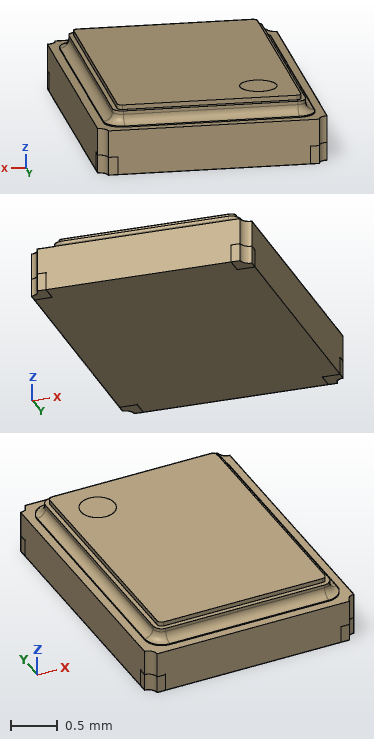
import cadquery as cq

width = 2.5
length = 3.2
base_height = 0.5
notch_radius = 0.1

pad_size = 0.2

total_height = 0.7
lid_thickness = 0.05
seal_height = total_height - base_height - lid_thickness
seal_inset = 0.1
seal_foot_radius = 0.2
seal_lip = 0.013
cove_radius = 0.1

lid_inset = 0.25

corner_centre = seal_inset + seal_foot_radius

mark_diameter = 0.4
mark_offset = 0.65

seal_top = base_height + seal_height


def rounded_plate(inset, bottom, height):
    """Centred plate set in from the base sides, with round vertical corners."""
    return (
        cq.Workplane("XY", origin=(0, 0, bottom))
        .rect(width - 2 * inset, length - 2 * inset)
        .extrude(height)
        .edges("|Z")
        .fillet(corner_centre - inset)
    )


def make_corner_pad(side_x, side_y):
    """Cube-shaped pad in one bottom corner of the base, cut by the corner notch."""
    corner = (side_x * width / 2, side_y * length / 2)
    cube_centre = (corner[0] - side_x * pad_size / 2, corner[1] - side_y * pad_size / 2)
    cube = cq.Workplane("XY").center(*cube_centre).rect(pad_size, pad_size).extrude(pad_size)
    notch = cq.Workplane("XY").center(*corner).circle(notch_radius).extrude(pad_size)
    return cube.cut(notch)


def make_base(corner_pads):
    """Block with notched corners and a recess for each pad."""
    block = cq.Workplane("XY").rect(width, length).extrude(base_height)
    notches = (
        cq.Workplane("XY")
        .rect(width, length, forConstruction=True)
        .vertices()
        .circle(notch_radius)
        .extrude(base_height)
    )
    base = block.cut(notches)
    for pad in corner_pads:
        base = base.cut(pad)
    return base


def make_seal():
    """Plate whose foot flares outward in a concave cove all around."""
    foot_height = seal_lip + cove_radius
    foot = rounded_plate(seal_inset, base_height, foot_height)

    cove_path = foot.faces(">Z").wires()
    path_wire = cove_path.val()
    cove_profile = cq.Workplane(
        cq.Plane(origin=path_wire.startPoint(), normal=path_wire.tangentAt(0))
    ).circle(cove_radius)
    cove_tube = cove_profile.sweep(cove_path)

    rim_bottom = base_height + foot_height
    rim = rounded_plate(seal_inset + cove_radius, rim_bottom, seal_height - foot_height)
    return foot.cut(cove_tube).union(rim)


def make_mark():
    """Disc as thick as the lid, near the -X +Y corner."""
    centre = (-width / 2 + mark_offset, length / 2 - mark_offset, seal_top)
    return cq.Workplane("XY", origin=centre).circle(mark_diameter / 2).extrude(lid_thickness)


def make_lid(mark):
    """Thin cover plate with a hole that holds the mark."""
    return rounded_plate(lid_inset, seal_top, lid_thickness).cut(mark)


pads = [make_corner_pad(side_x, side_y) for side_x in (-1, 1) for side_y in (-1, 1)]
base = make_base(pads)
seal = make_seal()
mark = make_mark()
lid = make_lid(mark)

result = cq.Compound.makeCompound(
    [body.solids().val() for body in (base, *pads, seal, lid, mark)]
)